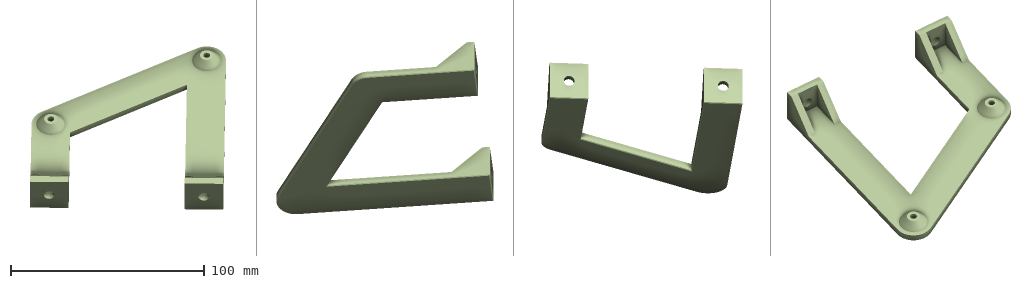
import cadquery as cq

strip_width = 20.0
base_thickness = 4.0
boss_spacing = 92.4
upper_arm_length = 102.0
lower_arm_length = 55.7
arm_angle = -30
bottom_chamfer = 0.4

plate_height = 20.0
wall_thickness = 4.0
screw_hole_diameter = 5.5
screw_hole_height = plate_height / 2

boss_base_diameter = 15.0
boss_top_diameter = 7
boss_height = 4.0
boss_hole_diameter = 3.5

half_width = strip_width / 2
corners = [
    (0, boss_spacing, upper_arm_length),
    (0, 0, lower_arm_length),
]


def place_arm(shape, x, y):
    """Turn a shape built along +X to the arm direction, then move it to a corner."""
    return shape.rotate((0, 0, 0), (0, 0, 1), arm_angle).translate((x, y, 0))


def make_frame():
    frame = cq.Workplane("XY").box(
        strip_width, boss_spacing, base_thickness, centered=(True, False, False)
    )
    for x, y, length in corners:
        round_end = cq.Workplane("XY").center(x, y).circle(half_width).extrude(base_thickness)
        arm = cq.Workplane("XY").box(
            length, strip_width, base_thickness, centered=(False, True, False)
        )
        frame = frame.union(round_end).union(place_arm(arm, x, y))
    return frame.clean().faces("<Z").edges().chamfer(bottom_chamfer)


def make_bracket(length):
    """End plate braced by a 45 degree gusset along each side of the arm."""
    plate_start = length - wall_thickness
    gusset_size = plate_height - base_thickness
    profile = (
        cq.Workplane("XZ", origin=(0, half_width, 0))
        .moveTo(plate_start - gusset_size, base_thickness)
        .lineTo(plate_start, plate_height)
        .lineTo(length, plate_height)
        .lineTo(length, base_thickness)
        .close()
    )
    bracket = profile.extrude(strip_width)
    pocket = cq.Workplane("XY").box(
        plate_start, strip_width - 2 * wall_thickness, plate_height, centered=(False, True, False)
    )
    screw_hole = (
        cq.Workplane("YZ", origin=(plate_start, 0, screw_hole_height))
        .circle(screw_hole_diameter / 2)
        .extrude(wall_thickness)
    )
    return bracket.cut(pocket).cut(screw_hole)


def make_boss():
    """Cone with a blind hole that stops at the top of the base."""
    base_radius = boss_base_diameter / 2
    top_radius = boss_top_diameter / 2
    cone = cq.Workplane("XY").add(cq.Solid.makeCone(base_radius, top_radius, boss_height))
    hole = cq.Workplane("XY").circle(boss_hole_diameter / 2).extrude(boss_height)
    return cone.cut(hole).translate((0, 0, base_thickness))


result = make_frame()
for x, y, length in corners:
    result = result.union(place_arm(make_bracket(length), x, y))
    result = result.union(make_boss().translate((x, y, 0)))